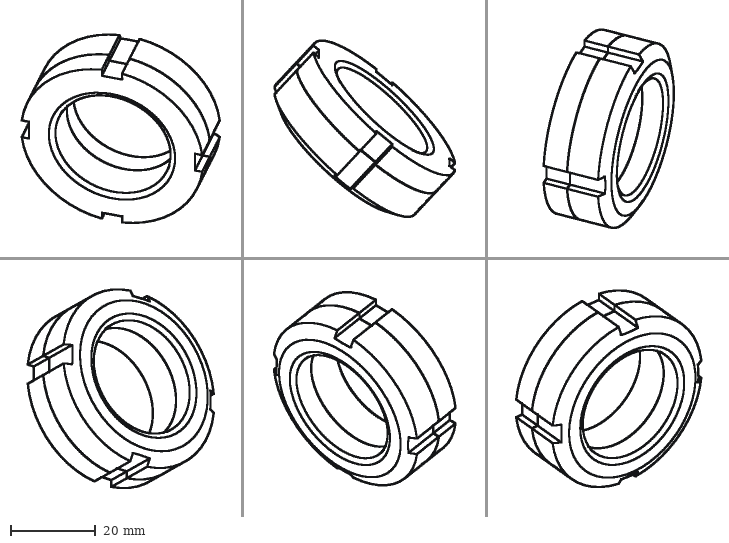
import cadquery as cq
import math

OVERALL_WIDTH = 44.7
THICKNESS = 16.0
FLANGE_THICKNESS = 6.0
SPIGOT_LENGTH = 3.85
JOINT_GAP = 0.1
SLOT_WIDTH = 5.0
SLOT_FLOOR_RADIUS = 20.55
SLOT_COUNT = 4
BORE_RADIUS = 14.25
BORE_CHAMFER_RADIAL = 1.4
BORE_CHAMFER_DEPTH = 0.8
REAR_CHAMFER_DEPTH = 2.0
REAR_CHAMFER_ANGLE = 60.0

OUTER_RADIUS = math.hypot(OVERALL_WIDTH / 2, SLOT_WIDTH / 2)
SPIGOT_RADIUS = (BORE_RADIUS + SLOT_FLOOR_RADIUS) / 2
REAR_FACE_RADIUS = OUTER_RADIUS - REAR_CHAMFER_DEPTH * math.tan(math.radians(REAR_CHAMFER_ANGLE))
FRONT_Y = -THICKNESS / 2
FLANGE_BACK_Y = FRONT_Y + FLANGE_THICKNESS
SPIGOT_END_Y = FLANGE_BACK_Y + SPIGOT_LENGTH
RIM_START_Y = FLANGE_BACK_Y + JOINT_GAP
RECESS_FLOOR_Y = SPIGOT_END_Y + JOINT_GAP
REAR_Y = THICKNESS / 2


def revolve_profile(points):
    """Turn a closed (radius, y) profile around the Y axis."""
    return cq.Workplane("XY").polyline(points).close().revolve(360, (0, 0, 0), (0, 1, 0))


def cut_slots(ring):
    """Cut the wrench slots, which run parallel to the axis through the whole thickness."""
    slot_depth = OUTER_RADIUS - SLOT_FLOOR_RADIUS
    slot = (
        cq.Workplane("XY")
        .box(slot_depth, THICKNESS, SLOT_WIDTH)
        .translate((SLOT_FLOOR_RADIUS + slot_depth / 2, 0, 0))
    )
    for index in range(SLOT_COUNT):
        angle = index * 360 / SLOT_COUNT
        ring = ring.cut(slot.rotate((0, 0, 0), (0, 1, 0), angle))
    return ring


def make_front_ring():
    """Front ring: a flange with a chamfered bore mouth and a spigot reaching into the rear ring."""
    profile = [
        (BORE_RADIUS + BORE_CHAMFER_RADIAL, FRONT_Y),
        (OUTER_RADIUS, FRONT_Y),
        (OUTER_RADIUS, FLANGE_BACK_Y),
        (SPIGOT_RADIUS, FLANGE_BACK_Y),
        (SPIGOT_RADIUS, SPIGOT_END_Y),
        (BORE_RADIUS, SPIGOT_END_Y),
        (BORE_RADIUS, FRONT_Y + BORE_CHAMFER_DEPTH),
    ]
    return cut_slots(revolve_profile(profile))


def make_rear_ring():
    """Rear ring: a recess for the spigot, a conical outer edge and a chamfered bore at the back."""
    profile = [
        (BORE_RADIUS, RECESS_FLOOR_Y),
        (SPIGOT_RADIUS, RECESS_FLOOR_Y),
        (SPIGOT_RADIUS, RIM_START_Y),
        (OUTER_RADIUS, RIM_START_Y),
        (OUTER_RADIUS, REAR_Y - REAR_CHAMFER_DEPTH),
        (REAR_FACE_RADIUS, REAR_Y),
        (BORE_RADIUS + BORE_CHAMFER_RADIAL, REAR_Y),
        (BORE_RADIUS, REAR_Y - BORE_CHAMFER_DEPTH),
    ]
    return cut_slots(revolve_profile(profile))


front_ring = make_front_ring()
rear_ring = make_rear_ring()

result = cq.Compound.makeCompound([front_ring.val(), rear_ring.val()])